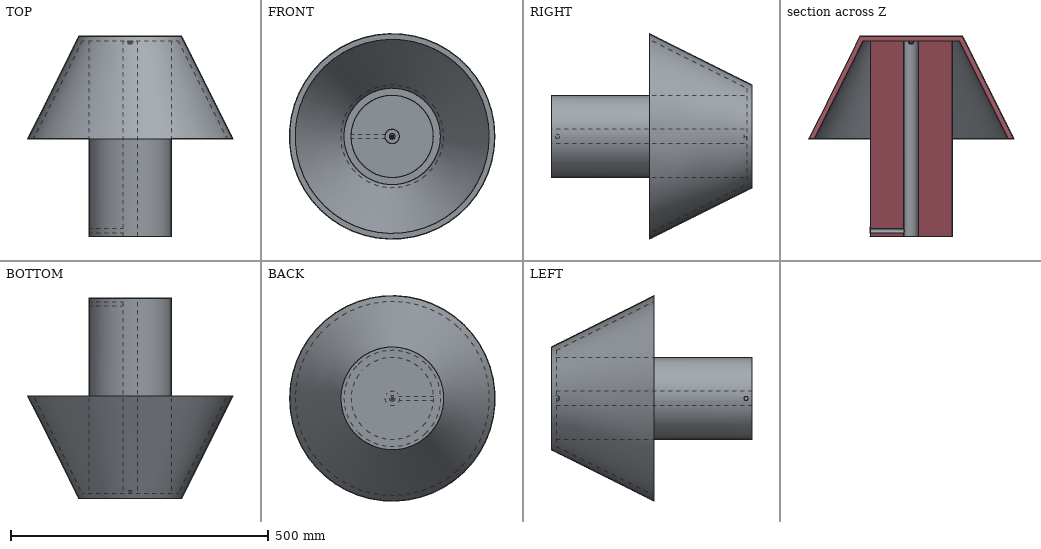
import cadquery as cq
import math


MOUTH_RADIUS = 199.8
CROWN_RADIUS = 100.0
SHADE_DEPTH = 199.8
WALL = 10.0
FLOOR_Y = SHADE_DEPTH - WALL

POST_RADIUS = 80.0
POST_FRONT_Y = -190.0
POST_LENGTH = FLOOR_Y - POST_FRONT_Y
BORE_RADIUS = 14.0
SIDE_HOLE_RADIUS = 4.0
SIDE_HOLE_INSET = 11.5

STUD_RADIUS = 5.5
STUD_HEIGHT = 5.5
STUD_RIM = 1.0
STUD_LAND_RADIUS = 2.8
SOCKET_RADIUS = 1.5
SOCKET_DEPTH = 2.0


def cylinder_along_y(radius, start_y, length):
    """Solid cylinder on the lamp axis, running from start_y toward +Y."""
    plane = cq.Workplane("XZ", origin=(0, start_y, 0))
    return plane.circle(radius).extrude(-length)


def revolve_about_y(profile):
    """Turn a closed radius-versus-Y profile into a solid about the lamp axis."""
    return profile.close().revolve(360, (0, 0, 0), (0, 1, 0))


def make_shade():
    """Conical shell of even wall thickness, open toward -Y."""
    taper = (MOUTH_RADIUS - CROWN_RADIUS) / SHADE_DEPTH
    radial_wall = WALL * math.hypot(1, taper)
    inner_mouth_radius = MOUTH_RADIUS - radial_wall
    inner_floor_radius = inner_mouth_radius - taper * FLOOR_Y
    profile = (
        cq.Workplane("XY")
        .moveTo(0, SHADE_DEPTH)
        .lineTo(CROWN_RADIUS, SHADE_DEPTH)
        .lineTo(MOUTH_RADIUS, 0)
        .lineTo(inner_mouth_radius, 0)
        .lineTo(inner_floor_radius, FLOOR_Y)
        .lineTo(0, FLOOR_Y)
    )
    return revolve_about_y(profile)


def make_post():
    """Cylinder with an axial through bore and a side hole from -X into the bore."""
    post = cylinder_along_y(POST_RADIUS, POST_FRONT_Y, POST_LENGTH)
    bore = cylinder_along_y(BORE_RADIUS, POST_FRONT_Y, POST_LENGTH)
    side_hole_y = POST_FRONT_Y + SIDE_HOLE_INSET
    side_plane = cq.Workplane("YZ", origin=(-POST_RADIUS, side_hole_y, 0))
    side_hole = side_plane.circle(SIDE_HOLE_RADIUS).extrude(POST_RADIUS)
    return post.cut(bore).cut(side_hole)


def make_stud():
    """Tapered button standing on the shade plate, with a small blind socket in its tip."""
    tip_y = FLOOR_Y - STUD_HEIGHT
    rim_y = FLOOR_Y - STUD_RIM
    socket_floor_y = tip_y + SOCKET_DEPTH
    profile = (
        cq.Workplane("XY")
        .moveTo(0, FLOOR_Y)
        .lineTo(STUD_RADIUS, FLOOR_Y)
        .lineTo(STUD_RADIUS, rim_y)
        .lineTo(STUD_LAND_RADIUS, tip_y)
        .lineTo(SOCKET_RADIUS, tip_y)
        .lineTo(SOCKET_RADIUS, socket_floor_y)
        .lineTo(0, socket_floor_y)
    )
    return revolve_about_y(profile)


shade = make_shade()
post = make_post()
stud = make_stud()

result = cq.Compound.makeCompound([shade.val(), post.val(), stud.val()])